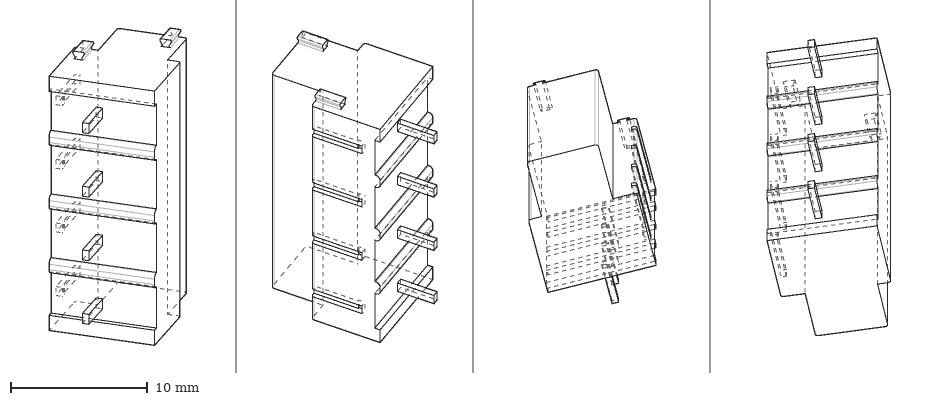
import cadquery as cq

total_length = 20.92
lug_height = 0.6
body_length = total_length - lug_height
body_width = 8.2
body_depth = 10.0
shoulder_setback = 4.29
shoulder_y = body_depth - shoulder_setback
left_shoulder_width = 1.8
right_shoulder_width = 1.0
tower_right_x = body_width - right_shoulder_width
corner_radius = 0.2

pole_count = 4
pitch = body_length / pole_count

relief_depth = 0.44
flange_thickness = 1.21
rib_width = 1.15
rib_radius = 0.35

total_depth = 12.6
pin_length = total_depth - body_depth
pin_embed = 1.05
pin_width = 0.5
pin_height = 0.8
pin_x = 3.77

slot_height = 0.71
slot_length = 4.2
slot_depth = 0.4
slot_pocket_length = 0.5
slot_pocket_depth = 0.5

lug_length = 2.1
lug_base_width = 0.38
lug_top_width = 1.05
lug_radius = 0.1
left_lug_x = 1.0
right_lug_x = 6.25


def block(x, y, z):
    """Box spanning the given (start, end) pairs."""
    size = (x[1] - x[0], y[1] - y[0], z[1] - z[0])
    return cq.Workplane("XY").box(*size, centered=False).translate((x[0], y[0], z[0]))


def make_housing():
    """Stepped housing with its four outward entry-side corners rounded."""
    base = block((0, body_width), (0, shoulder_y), (0, body_length))
    base = base.edges("|Z and >Y").fillet(corner_radius)
    tower = block((left_shoulder_width, tower_right_x), (0, body_depth), (0, body_length))
    tower = tower.edges("|Z and >Y").fillet(corner_radius)
    return base.union(tower)


def make_relief():
    """Shallow recess between the end flanges."""
    return block((0, body_width), (0, relief_depth), (flange_thickness, body_length - flange_thickness))


def make_rib(z):
    """Rounded rib across the relief, centred on a boundary between poles."""
    rib = block((0, body_width), (0, 2 * relief_depth), (z - rib_width / 2, z + rib_width / 2))
    return rib.edges("|X and <Y").fillet(rib_radius)


def make_pin(z):
    """Rectangular solder pin."""
    x = (pin_x - pin_width / 2, pin_x + pin_width / 2)
    return block(x, (-pin_length, pin_embed), (z - pin_height / 2, z + pin_height / 2))


def make_slot(z):
    """Slot in the left side, running from the shoulder to a slightly deeper pocket at its closed end."""
    heights = (z - slot_height / 2, z + slot_height / 2)
    slot_end = shoulder_y - slot_length
    channel = block((0, slot_depth), (slot_end, shoulder_y), heights)
    pocket = block((0, slot_pocket_depth), (slot_end, slot_end + slot_pocket_length), heights)
    return channel.union(pocket)


def add_lug(body, x, back_y):
    """Dovetail lug on the top end, blended into it, starting at back_y and running toward the pins."""
    outline = [
        (x - lug_base_width / 2, body_length),
        (x + lug_base_width / 2, body_length),
        (x + lug_top_width / 2, total_length),
        (x - lug_top_width / 2, total_length),
    ]
    lug = cq.Workplane("XZ", origin=(0, back_y, 0)).polyline(outline).close().extrude(lug_length)
    lug = lug.edges("|Y and >Z").fillet(lug_radius)
    neck_edges = cq.selectors.BoxSelector(
        (x - lug_top_width / 2, back_y - lug_length, body_length - lug_radius),
        (x + lug_top_width / 2, back_y, body_length + lug_radius),
    )
    return body.union(lug).edges("|Y").edges(neck_edges).fillet(lug_radius)


result = make_housing().cut(make_relief())
for boundary in range(1, pole_count):
    result = result.union(make_rib(boundary * pitch))
for pole in range(pole_count):
    pole_z = (pole + 0.5) * pitch
    result = result.union(make_pin(pole_z)).cut(make_slot(pole_z))
result = add_lug(result, left_lug_x, shoulder_y)
result = add_lug(result, right_lug_x, body_depth)